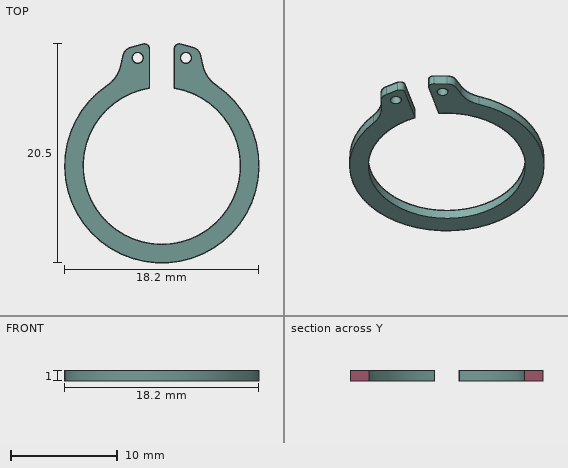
import cadquery as cq
import math

total_length = 20.52
thickness = 1.0
outer_radius = 9.1
inner_radius = 7.35
half_gap = 1.15

lug_top = total_length - outer_radius
top_tilt = math.radians(15.5)
side_tilt = math.radians(12.5)
side_x = 3.7
gap_corner_radius = 0.5
outer_corner_radius = 1.0
neck_radius = 3.0

hole_x = 2.25
hole_y = 10.1
hole_diameter = 1.0


def side_edge_x(y):
    """X of the straight lug side at height y."""
    return side_x - (y - hole_y) * math.tan(side_tilt)


sharp_corner_y = (
    lug_top - gap_corner_radius
    + gap_corner_radius / math.cos(top_tilt)
    + gap_corner_radius * math.tan(top_tilt)
)

top_slope = math.tan(top_tilt)
side_slope = math.tan(side_tilt)
outer_corner_x = (
    side_edge_x(sharp_corner_y) - half_gap * top_slope * side_slope
) / (1 - top_slope * side_slope)
outer_corner_y = sharp_corner_y - (outer_corner_x - half_gap) * top_slope

base_y = (inner_radius + outer_radius) / 2 - half_gap / 2


def extruded_lug():
    """Sharp-cornered lug on the +X side of the gap."""
    return (
        cq.Workplane("XY")
        .moveTo(half_gap, base_y)
        .lineTo(half_gap, sharp_corner_y)
        .lineTo(outer_corner_x, outer_corner_y)
        .lineTo(side_edge_x(base_y), base_y)
        .close()
        .extrude(thickness)
    )


def half_ring():
    """The +X half of the ring, cut back to the gap."""
    disc = cq.Workplane("XY").circle(outer_radius).extrude(thickness)
    right_side = (
        cq.Workplane("XY")
        .rect(outer_radius, 2 * outer_radius)
        .extrude(thickness)
        .translate((outer_radius / 2, 0, 0))
    )
    gap = (
        cq.Workplane("XY")
        .rect(2 * half_gap, outer_radius)
        .extrude(thickness)
        .translate((0, outer_radius / 2, 0))
    )
    return disc.intersect(right_side).cut(gap)


def round_corner(body, x, y, radius):
    """Fillet the vertical edge nearest to (x, y)."""
    nearest = cq.selectors.NearestToPointSelector((x, y, thickness / 2))
    return body.edges("|Z").edges(nearest).fillet(radius)


side_offset = side_edge_x(0) * math.cos(side_tilt)
neck_angle = side_tilt + math.acos(side_offset / outer_radius)
neck_x = outer_radius * math.cos(neck_angle)
neck_y = outer_radius * math.sin(neck_angle)

half = half_ring().union(extruded_lug())
half = round_corner(half, half_gap, sharp_corner_y, gap_corner_radius)
half = round_corner(half, outer_corner_x, outer_corner_y, outer_corner_radius)
half = round_corner(half, neck_x, neck_y, neck_radius)

bore = cq.Workplane("XY").circle(inner_radius).extrude(thickness)
plier_hole = (
    cq.Workplane("XY")
    .center(hole_x, hole_y)
    .circle(hole_diameter / 2)
    .extrude(thickness)
)
half = half.cut(bore).cut(plier_hole)

result = half.union(half.mirror("YZ")).clean()